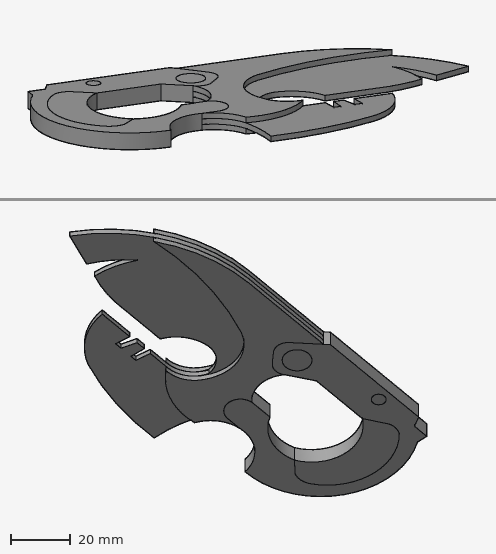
import cadquery as cq
import math


thickness = 6.0
blade_thickness = 2.0
cover_thickness = (thickness - blade_thickness) / 2
bottom_z = -thickness / 2
blade_z = -blade_thickness / 2
upper_cover_z = blade_thickness / 2

pivot_diameter = 10.0
small_pin_diameter = 5.0
small_pin_center = (-8.6, -32.0)

spine_x = -11.7
spine_start_y = 38.3
spine_radius = 62.5
tip_x = 20.6
cover_top_x = -0.4

hook_corner = (25.0, 79.2)
hook_upper_mid = (17.8, 75.3)
hook_root = (10.8, 69.4)
hook_lower_mid = (19.0, 72.3)
edge_tip = (26.7, 73.2)
edge_curve_mid = (28.6, 66.4)

edge_x = 29.5
edge_top_y = 59.6
edge_bottom_y = 36.2
limb_x = 36.5
limb_top_y = 57.9
limb_tip_x = 61.75
limb_bottom_y = 2.0
limb_top_mid = (48.2, 52.9)
limb_shoulder = (55.8, 42.7)
limb_back_mid = (60.5, 24.0)
limb_bottom_mid = (53.5, 1.7)
limb_root_x = 45.4

tooth_root_x = 42.3
slots = [
    ((33.2, 33.9), (36.2, 36.4)),
    ((40.0, 41.5), (43.7, 44.3)),
]

throat_upper_left = (22.8, 31.3)
throat_left = (19.6, 24.0)
throat_lower_left = (21.6, 16.5)
throat_bottom = (27.8, 13.2)
throat_lower_right = (33.9, 17.0)
throat_top_y = 25.1

cover_left_mid = (0.0, 43.8)
cover_left_corner = (5.6, 22.2)
cover_bottom_mid = (15.5, 12.55)
cover_throat_point = (29.2, 13.4)
cover_right_mid = (42.8, 17.0)

cutout_center = (50.4, -13.9)
cutout_radius = 14.85
cutout_upper_angle = 140
cutout_lower_angle = 200

opening_top_left = (7.0, -3.0)
opening_top = (14.9, -0.3)
opening_top_right = (25.4, -6.4)

handle_left = -13.31
bar_inner_x = 1.5
bar_inner_top_y = -11.7
bar_shoulder_y = -47.1
heel_x = -9.4
heel_top_y = -49.4
heel_bottom_y = -55.8
heel_arc_x = -5.3
lug_apex_y = 11.6
lug_side_corner = (10.2, lug_apex_y - 10.2)
lug_fillet = 5.0
prong_left = 24.5
prong_right = 35.7
prong_bottom_y = -14.5
prong_shoulder_y = -5.7
prong_top_y = -0.1
prong_middle_x = (prong_left + prong_right) / 2
handle_tip_x = 47.8
rim_point = (34.8, -55.3)
opening_right = (32.4, -26.0)
opening_bottom = (17.0, -43.9)

inlay_top_left = (bar_inner_x, -35.2)
inlay_top_right = (31.6, -35.2)
inlay_right_corner = (35.7, -40.3)
inlay_right_mid = (36.2, -43.5)
inlay_right_end = (35.0, -47.0)
inlay_bottom = (15.5, -57.3)
inlay_left_end = (-3.2, -48.8)
inlay_left_mid = (-4.1, -45.8)
inlay_left_corner = (-3.6, -43.0)


def spine_y(x):
    """Height of the spine arc at x."""
    offset = spine_x + spine_radius - x
    return spine_start_y + math.sqrt(spine_radius**2 - offset**2)


def spine_midpoint(x):
    """Point on the spine arc halfway between its straight back and x."""
    end_angle = math.acos((spine_x + spine_radius - x) / spine_radius)
    reach = spine_radius * math.cos(end_angle / 2)
    return spine_x + spine_radius - reach, spine_start_y + spine_radius * math.sin(end_angle / 2)


def cutout_y(x, side):
    """Height of the finger cutout at x, on its upper (+1) or lower (-1) half."""
    offset = x - cutout_center[0]
    return cutout_center[1] + side * math.sqrt(cutout_radius**2 - offset**2)


def cutout_point(angle):
    """Point on the finger cutout at an angle in degrees."""
    turn = math.radians(angle)
    return (
        cutout_center[0] + cutout_radius * math.cos(turn),
        cutout_center[1] + cutout_radius * math.sin(turn),
    )


limb_root = (limb_root_x, cutout_y(limb_root_x, 1))
prong_cutout = (prong_right, cutout_y(prong_right, 1))
handle_tip = (handle_tip_x, cutout_y(handle_tip_x, -1))


def plate(outline, base_z, height):
    """Close an outline and extrude it upwards from base_z."""
    return outline.close().extrude(height).translate((0, 0, base_z))


def follow_handle(outline):
    """Run from the limb root along the cutout and opening, then under the lug to the spine."""
    return (
        outline.threePointArc(cutout_point(cutout_upper_angle), prong_cutout)
        .lineTo(prong_middle_x, opening_top_right[1])
        .lineTo(*opening_top_right)
        .threePointArc(opening_top, opening_top_left)
        .lineTo(0, 0)
        .lineTo(spine_x, handle_left + lug_apex_y)
        .lineTo(spine_x, spine_start_y)
    )


def throat_right(outline):
    """Run along the right side of the throat up to the limb edge."""
    return outline.threePointArc(throat_lower_right, (limb_x, throat_top_y))


def make_handle():
    outer = (
        cq.Workplane("XY")
        .moveTo(handle_left, lug_apex_y + handle_left)
        .lineTo(0, lug_apex_y)
        .lineTo(*lug_side_corner)
        .lineTo(bar_inner_x, bar_inner_top_y)
        .lineTo(*inlay_top_left)
        .threePointArc(opening_bottom, inlay_top_right)
        .threePointArc(opening_right, (prong_left, prong_bottom_y))
        .lineTo(prong_left, prong_shoulder_y)
        .threePointArc((prong_middle_x, prong_top_y), (prong_right, prong_shoulder_y))
        .lineTo(*prong_cutout)
        .threePointArc(cutout_point(cutout_lower_angle), handle_tip)
        .threePointArc(rim_point, (heel_arc_x, heel_bottom_y))
        .lineTo(heel_x, heel_bottom_y)
        .lineTo(heel_x, heel_top_y)
        .lineTo(handle_left, bar_shoulder_y)
    )
    body = plate(outer, bottom_z, thickness)
    for corner in ((0, lug_apex_y), lug_side_corner):
        body = body.edges(cq.selectors.NearestToPointSelector((*corner, 0))).fillet(lug_fillet)
    return body


def make_inlay():
    outline = (
        cq.Workplane("XY")
        .moveTo(*inlay_top_left)
        .threePointArc(opening_bottom, inlay_top_right)
        .lineTo(*inlay_right_corner)
        .threePointArc(inlay_right_mid, inlay_right_end)
        .threePointArc(inlay_bottom, inlay_left_end)
        .threePointArc(inlay_left_mid, inlay_left_corner)
    )
    return plate(outline, bottom_z, thickness)


def make_blade():
    outline = (
        cq.Workplane("XY")
        .moveTo(spine_x, spine_start_y)
        .threePointArc(spine_midpoint(tip_x), (tip_x, spine_y(tip_x)))
        .lineTo(*hook_corner)
        .threePointArc(hook_upper_mid, hook_root)
        .threePointArc(hook_lower_mid, edge_tip)
        .threePointArc(edge_curve_mid, (edge_x, edge_top_y))
        .lineTo(edge_x, edge_bottom_y)
        .threePointArc(throat_upper_left, throat_left)
        .threePointArc(throat_lower_left, throat_bottom)
    )
    outline = throat_right(outline)
    for (lower_edge_y, lower_root_y), (upper_edge_y, upper_root_y) in slots:
        outline = (
            outline.lineTo(limb_x, lower_edge_y)
            .lineTo(tooth_root_x, lower_root_y)
            .lineTo(tooth_root_x, upper_root_y)
            .lineTo(limb_x, upper_edge_y)
        )
    outline = (
        outline.lineTo(limb_x, limb_top_y)
        .threePointArc(limb_top_mid, limb_shoulder)
        .threePointArc(limb_back_mid, (limb_tip_x, limb_bottom_y))
        .threePointArc(limb_bottom_mid, limb_root)
    )
    return plate(follow_handle(outline), blade_z, blade_thickness)


def make_cover(base_z):
    outline = (
        cq.Workplane("XY")
        .moveTo(spine_x, spine_start_y)
        .threePointArc(spine_midpoint(cover_top_x), (cover_top_x, spine_y(cover_top_x)))
        .threePointArc(cover_left_mid, cover_left_corner)
        .threePointArc(cover_bottom_mid, cover_throat_point)
    )
    outline = throat_right(outline).threePointArc(cover_right_mid, limb_root)
    return plate(follow_handle(outline), base_z, cover_thickness)


def make_pin(center, diameter):
    pin = cq.Workplane("XY").center(*center).circle(diameter / 2).extrude(thickness)
    return pin.translate((0, 0, bottom_z))


handle_blank = make_handle()
inlay = make_inlay()
pivot_pin = make_pin((0, 0), pivot_diameter)
small_pin = make_pin(small_pin_center, small_pin_diameter)
handle = handle_blank.cut(inlay).cut(pivot_pin).cut(small_pin)
blade = make_blade().cut(handle_blank)
covers = [make_cover(z).cut(handle_blank) for z in (bottom_z, upper_cover_z)]

result = cq.Compound.makeCompound(
    [
        handle.val(),
        inlay.val(),
        blade.val(),
        *[cover.val() for cover in covers],
        pivot_pin.val(),
        small_pin.val(),
    ]
)